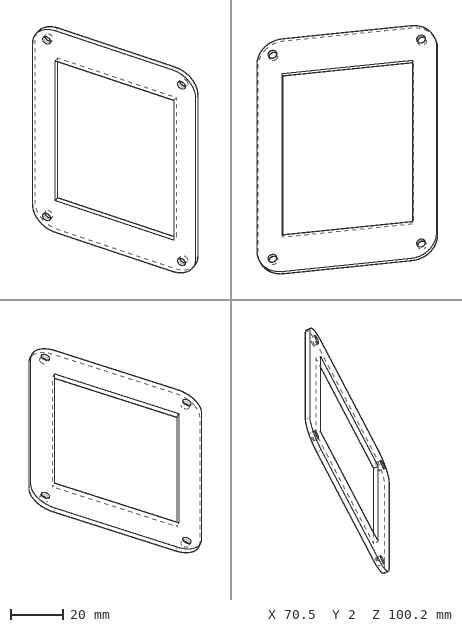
import cadquery as cq

width = 70.5
height = 100.2
thickness = 2.0
corner_radius = 10.0

window_width = 51.3
window_height = 69.3
window_offset_x = 0.2
window_offset_z = 0.4

hole_diameter = 3.4
hole_spacing_x = 58.3
hole_spacing_z = 87.8


def rounded_plate():
    plate = cq.Workplane("XZ").rect(width, height).extrude(thickness / 2, both=True)
    return plate.edges("|Y").fillet(corner_radius)


def window_cutter():
    return (
        cq.Workplane("XZ")
        .center(window_offset_x, window_offset_z)
        .rect(window_width, window_height)
        .extrude(thickness, both=True)
    )


def hole_cutters():
    return (
        cq.Workplane("XZ")
        .rect(hole_spacing_x, hole_spacing_z, forConstruction=True)
        .vertices()
        .circle(hole_diameter / 2)
        .extrude(thickness, both=True)
    )


result = rounded_plate().cut(window_cutter()).cut(hole_cutters())